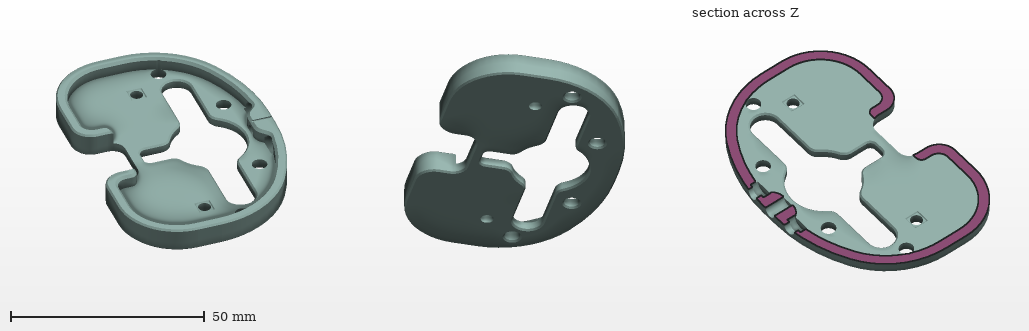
import cadquery as cq
import math

width = 76.2
depth = 50.5
height = 6.5
floor_z = 2.9
edge_chamfer = 0.45

back_flat_half = 2.7
back_radius = 45.7
back_turn = math.radians(30)
back_reach = back_flat_half + back_radius * math.sin(back_turn)
shoulder_radius = (width / 2 - back_reach) / (1 - math.sin(back_turn))
heel_radius = 16.0

notch_half = 8.15
notch_y = 11.65
notch_radius = 3.5
foot_radius = 5.25

rim_width = 3.0
rim_chamfer = 0.7
rim_end_y = 9.6
rim_end_radius = 1.9
foot_inner_radius = 3.0

block_y = 44.4
block_half = 3.6
block_front_radius = 3.8
block_root_radius = 1.5

key_y = 32.85
key_radius = 10.05
slot_half_length = 27.8
slot_width = 7.9
stem_half = 3.0
stem_end_y = 14.55
stem_end_radius = 1.75
key_blend_radius = 3.2

hole_diameter = 4.05
hole_centres = [(13.5, 41.9), (31.55, 30.65)]
screw_diameter = 3.35
screw_centre = (25.45, 22.4)
seat_side = 4.2
seat_depth = 0.2

bore_z = height / 2
bore_radius = 1.75
bore_x = 7.6
counterbore_radius = 2.7
counterbore_start_y = 46.3
counterbore_end_y = 48.6

mark_width = 0.7
mark_depth = 0.3


def on_circle(centre, radius, angle):
    """Point at an angle measured from +X."""
    return (centre[0] + radius * math.cos(angle), centre[1] + radius * math.sin(angle))


def outline(inset):
    """Closed outline without the notch, moved inwards by inset."""
    back_centre = (back_flat_half, depth - back_radius)
    back_end = math.pi / 2 - back_turn
    shoulder_centre = on_circle(back_centre, back_radius - shoulder_radius, back_end)
    heel_centre = (width / 2 - heel_radius, heel_radius)
    back_r = back_radius - inset
    shoulder_r = shoulder_radius - inset
    heel_r = heel_radius - inset
    half = (
        cq.Workplane("XY")
        .moveTo(0, inset)
        .lineTo(heel_centre[0], inset)
        .threePointArc(on_circle(heel_centre, heel_r, -math.pi / 4), (width / 2 - inset, heel_radius))
        .lineTo(width / 2 - inset, shoulder_centre[1])
        .threePointArc(
            on_circle(shoulder_centre, shoulder_r, back_end / 2),
            on_circle(shoulder_centre, shoulder_r, back_end),
        )
        .threePointArc(
            on_circle(back_centre, back_r, (back_end + math.pi / 2) / 2),
            (back_flat_half, depth - inset),
        )
        .lineTo(0, depth - inset)
    )
    return half.mirrorY()


def box(half_x, y_low, y_high, z_high):
    """Block centred on X = 0 that stands on Z = 0."""
    block = cq.Workplane("XY", origin=(0, y_low, 0))
    return block.box(2 * half_x, y_high - y_low, z_high, centered=(True, False, False))


def round_upright(solid, x, y, radius):
    """Fillet the two vertical edges at (+x, y) and (-x, y)."""
    reach = 0.4

    def near(edge):
        centre = edge.Center()
        return abs(abs(centre.x) - x) < reach and abs(centre.y - y) < reach

    edges = solid.edges("|Z").filter(near)
    return solid.newObject(edges.vals()).fillet(radius)


def flared(prism, flare):
    """Add a 45 degree outward flare on top of a prism."""
    top = prism.faces(">Z").wires().toPending().workplane()
    return top.extrude(flare, taper=-45)


def make_body():
    """Solid plate with the notch and all outer edges finished."""
    body = outline(0).extrude(height).cut(box(notch_half, 0, notch_y, height))
    body = round_upright(body, notch_half, notch_y, notch_radius)
    body = round_upright(body, notch_half, 0, foot_radius)
    return body.faces("<Z or >Z").edges().chamfer(edge_chamfer)


def make_recess():
    """Space inside the rim, running out into the notch and leaving the cable block standing."""
    recess_height = height - floor_z - rim_chamfer
    foot_half = notch_half + rim_width
    back_y = depth - rim_width
    flank = back_y - block_y
    overrun = 2 * flank
    block = (
        cq.Workplane("XY")
        .moveTo(-block_half, block_y)
        .lineTo(block_half, block_y)
        .lineTo(block_half + overrun, block_y + overrun)
        .lineTo(-block_half - overrun, block_y + overrun)
        .close()
        .extrude(recess_height)
    )
    recess = outline(rim_width).extrude(recess_height)
    recess = recess.cut(box(foot_half, 0, rim_end_y, recess_height)).cut(block)
    recess = round_upright(recess, foot_half, rim_end_y, rim_end_radius)
    recess = round_upright(recess, foot_half, rim_width, foot_inner_radius)
    recess = round_upright(recess, block_half, block_y, block_front_radius)
    recess = round_upright(recess, block_half + flank, back_y, block_root_radius)
    return flared(recess, rim_chamfer).translate((0, 0, floor_z))


def make_keyhole():
    """Disc, cross slot and stem, chamfered at the top and bottom of the floor."""
    prism_height = floor_z / 2 - edge_chamfer
    disc = cq.Workplane("XY").center(0, key_y).circle(key_radius).extrude(prism_height)
    slot = (
        cq.Workplane("XY")
        .center(0, key_y)
        .slot2D(2 * slot_half_length, slot_width)
        .extrude(prism_height)
    )
    keyhole = disc.union(slot).union(box(stem_half, stem_end_y, key_y, prism_height))
    slot_half = slot_width / 2
    slot_meet_x = math.sqrt(key_radius**2 - slot_half**2)
    stem_meet_y = key_y - math.sqrt(key_radius**2 - stem_half**2)
    for y in (key_y - slot_half, key_y + slot_half):
        keyhole = round_upright(keyhole, slot_meet_x, y, key_blend_radius)
    keyhole = round_upright(keyhole, stem_half, stem_meet_y, key_blend_radius)
    keyhole = round_upright(keyhole, stem_half, stem_end_y, stem_end_radius)
    upper_half = flared(keyhole, edge_chamfer).translate((0, 0, floor_z / 2))
    return upper_half.union(upper_half.mirror("XY", (0, 0, floor_z / 2)))


def both_sides(x, y):
    return [(-x, y), (x, y)]


def make_floor_holes():
    """Four holes chamfered from below and two screw holes in shallow square seats."""
    holes = cq.Workplane("XY")
    for centre in hole_centres:
        centres = cq.Workplane("XY").pushPoints(both_sides(*centre))
        holes = holes.union(centres.circle(hole_diameter / 2).extrude(height))
        holes = holes.union(centres.circle(hole_diameter / 2 + edge_chamfer).extrude(edge_chamfer, taper=45))
    screws = both_sides(*screw_centre)
    holes = holes.union(cq.Workplane("XY").pushPoints(screws).circle(screw_diameter / 2).extrude(floor_z))
    seats = (
        cq.Workplane("XY", origin=(0, 0, floor_z))
        .pushPoints(screws)
        .rect(seat_side, seat_side)
        .extrude(-seat_depth, taper=45)
    )
    return holes.union(seats)


def bore(x, radius, y_start, y_end):
    """Cylinder along Y at mid height."""
    return cq.Workplane("XZ", origin=(x, y_start, bore_z)).circle(radius).extrude(y_start - y_end)


def make_cable_bores():
    """Plain bore through the cable block and a counterbored one on each side of it."""
    bores = bore(0, bore_radius, block_y, depth)
    for x in (-bore_x, bore_x):
        bores = bores.union(bore(x, bore_radius, counterbore_start_y, depth))
        bores = bores.union(bore(x, counterbore_radius, counterbore_start_y, counterbore_end_y))
    return bores


centre_mark = box(mark_width / 2, block_y, depth, mark_depth).translate((0, 0, height - mark_depth))

result = (
    make_body()
    .cut(make_recess())
    .cut(make_keyhole())
    .cut(make_floor_holes())
    .cut(make_cable_bores())
    .cut(centre_mark)
)